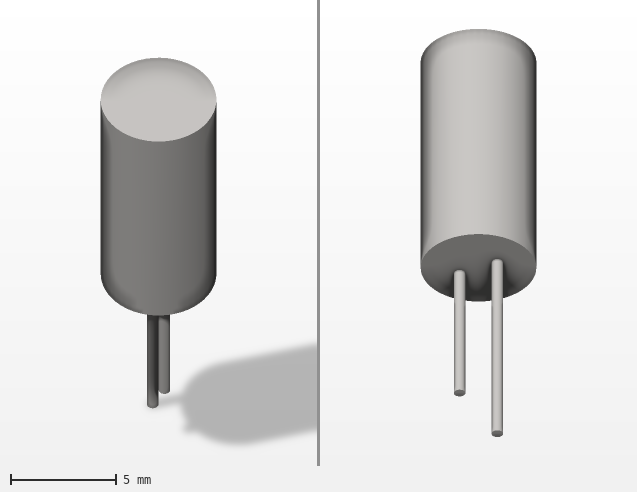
import cadquery as cq

total_height = 22.0
case_diameter = 5.5
lead_diameter = 0.55
lead_spacing = 2.0

long_lead_length = 10.0
short_lead_length = 7.0
case_height = total_height - long_lead_length


def make_case():
    """Plain cylindrical case standing on the XY plane."""
    return cq.Workplane("XY").circle(case_diameter / 2).extrude(case_height)


def make_lead(x, length):
    """Straight round lead running down from the underside of the case."""
    return cq.Workplane("XY").center(x, 0).circle(lead_diameter / 2).extrude(-length)


case = make_case()

lead_layout = [
    (-lead_spacing / 2, long_lead_length),
    (lead_spacing / 2, short_lead_length),
]
leads = [make_lead(x, length) for x, length in lead_layout]

result = cq.Compound.makeCompound([case.val(), *[lead.val() for lead in leads]])